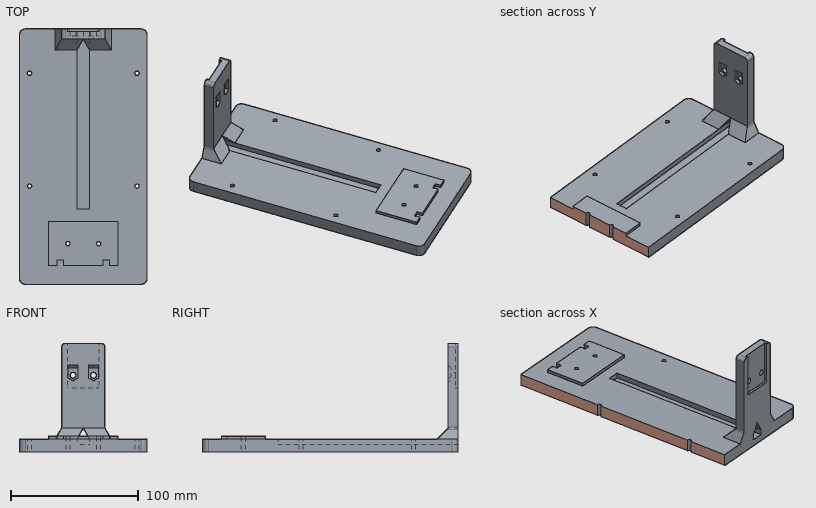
import cadquery as cq
import math

base_width = 100.0
base_length = 200.0
base_thickness = 10.0
base_corner_radius = 5.0
base_hole_diameter = 3.2
base_hole_x = 42.0
base_hole_rows = (65.2, -23.0)
rear_y = base_length / 2

total_height = 85.0
upright_width = 34.0
upright_thickness = 8.0
upright_corner_radius = 3.0
upright_front_y = rear_y - upright_thickness

foot_side_run = 5.0
foot_height = foot_side_run / math.tan(math.radians(30))
foot_front_run = foot_height
foot_fillet_radius = 4.0
foot_top_z = base_thickness + foot_height

channel_half_width = 4.9
channel_depth = 4.3
channel_front_y = -41.0
channel_floor_z = base_thickness - channel_depth

pad_width = 54.0
pad_length = 34.4
pad_height = 2.5
pad_center_y = -68.0
pad_hole_x = 12.0
pad_notch_width = 5.0
pad_notch_depth = 4.5
pad_notch_x = 18.0

screw_hole_diameter = 4.4
screw_x = 8.0
screw_z = 60.0
nut_flats = 7.5
nut_pocket_depth = 2.5
nut_pocket_top_z = 68.0
nut_roof_drop = nut_pocket_depth

recess_width = 24.5
recess_depth = 2.0
recess_bottom_z = 50.0
recess_corner_radius = 1.5


def make_base():
    return (
        cq.Workplane("XY")
        .rect(base_width, base_length)
        .extrude(base_thickness)
        .edges("|Z")
        .fillet(base_corner_radius)
    )


def make_upright():
    """Upright and foot: a block trimmed by sloped sides and a sloped front."""
    half_width = upright_width / 2
    foot_half_width = half_width + foot_side_run
    front_outline = (
        cq.Workplane("XZ", origin=(0, rear_y, 0))
        .moveTo(-foot_half_width, base_thickness)
        .lineTo(-half_width, foot_top_z)
        .lineTo(-half_width, total_height)
        .lineTo(half_width, total_height)
        .lineTo(half_width, foot_top_z)
        .lineTo(foot_half_width, base_thickness)
        .close()
        .extrude(upright_thickness + foot_front_run)
    )
    foot_bend = cq.selectors.BoxSelector(
        (-base_width, -base_length, foot_top_z - 1),
        (base_width, base_length, foot_top_z + 1),
    )
    front_outline = front_outline.edges("|Y").edges(foot_bend).fillet(foot_fillet_radius)
    front_outline = front_outline.edges("|Y").edges(">Z").fillet(upright_corner_radius)
    side_outline = (
        cq.Workplane("YZ")
        .moveTo(rear_y, base_thickness)
        .lineTo(rear_y, total_height)
        .lineTo(upright_front_y, total_height)
        .lineTo(upright_front_y, foot_top_z)
        .lineTo(upright_front_y - foot_front_run, base_thickness)
        .close()
        .extrude(base_width / 2, both=True)
    )
    return front_outline.intersect(side_outline)


def make_channel():
    return (
        cq.Workplane("XZ", origin=(0, rear_y, 0))
        .moveTo(-channel_half_width, channel_floor_z)
        .lineTo(-channel_half_width, base_thickness)
        .lineTo(0, foot_top_z)
        .lineTo(channel_half_width, base_thickness)
        .lineTo(channel_half_width, channel_floor_z)
        .close()
        .extrude(rear_y - channel_front_y)
    )


def make_pad():
    pad = (
        cq.Workplane("XY", origin=(0, pad_center_y, base_thickness))
        .rect(pad_width, pad_length)
        .extrude(pad_height)
    )
    notches = (
        cq.Workplane("XY", origin=(0, pad_center_y - pad_length / 2, base_thickness))
        .pushPoints([(-pad_notch_x, 0), (pad_notch_x, 0)])
        .rect(pad_notch_width, 2 * pad_notch_depth)
        .extrude(pad_height)
    )
    return pad.cut(notches)


def make_base_holes():
    points = [(side * base_hole_x, y) for side in (-1, 1) for y in base_hole_rows]
    points += [(side * pad_hole_x, pad_center_y) for side in (-1, 1)]
    return (
        cq.Workplane("XY")
        .pushPoints(points)
        .circle(base_hole_diameter / 2)
        .extrude(base_thickness + pad_height)
    )


def make_nut_pocket(x):
    """Screw hole and a nut pocket: pointed below like the nut, with a sloped roof above."""
    half_flats = nut_flats / 2
    hex_corner_drop = half_flats * math.tan(math.radians(30))
    hex_point_drop = half_flats / math.cos(math.radians(30))
    floor_y = upright_front_y + nut_pocket_depth
    pocket = (
        cq.Workplane("XZ", origin=(x, floor_y, screw_z))
        .moveTo(0, -hex_point_drop)
        .lineTo(half_flats, -hex_corner_drop)
        .lineTo(half_flats, nut_pocket_top_z - screw_z)
        .lineTo(-half_flats, nut_pocket_top_z - screw_z)
        .lineTo(-half_flats, -hex_corner_drop)
        .close()
        .extrude(nut_pocket_depth)
    )
    roof = (
        cq.Workplane("YZ", origin=(x, 0, 0))
        .moveTo(upright_front_y, nut_pocket_top_z)
        .lineTo(floor_y, nut_pocket_top_z)
        .lineTo(floor_y, nut_pocket_top_z - nut_roof_drop)
        .close()
        .extrude(half_flats, both=True)
    )
    hole = (
        cq.Workplane("XZ", origin=(x, rear_y, screw_z))
        .circle(screw_hole_diameter / 2)
        .extrude(upright_thickness)
    )
    return pocket.cut(roof).union(hole)


def make_rear_recess():
    recess_height = total_height - recess_bottom_z
    return (
        cq.Workplane("XZ", origin=(0, rear_y, recess_bottom_z + recess_height / 2))
        .rect(recess_width, recess_height)
        .extrude(recess_depth)
        .edges("|Y and <Z")
        .fillet(recess_corner_radius)
    )


result = make_base().union(make_upright()).union(make_pad())
result = result.cut(make_channel()).cut(make_base_holes()).cut(make_rear_recess())
for side in (-1, 1):
    result = result.cut(make_nut_pocket(side * screw_x))